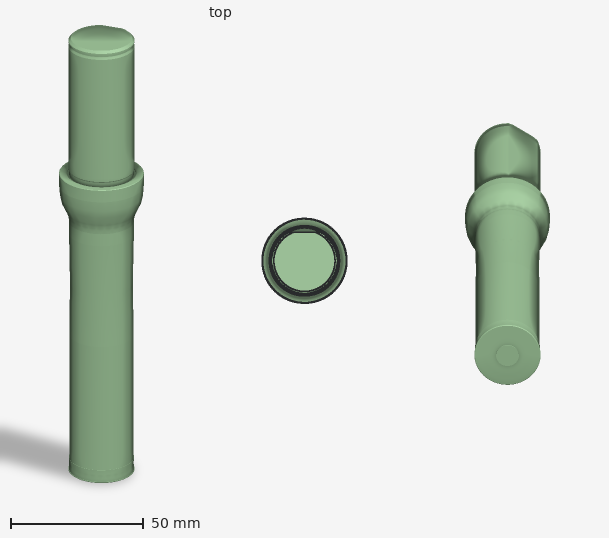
import cadquery as cq

total_height = 180.0
axial = (0, 1)

boss_diameter = 8.6
boss_height = 0.5
rim_diameter = 24.99
rim_bevel = 0.25
rim_top = 1.0
foot_diameter = 24.59
foot_waist_diameter = 24.35
foot_top = 5.8

grip_diameter = 24.3
grip_top = 57.0
waist_diameter = 23.8
waist_top = 99.0
neck_diameter = 24.5
neck_top = 104.0

collar_diameter = 32.0
collar_bottom = 119.0
collar_top = 124.0
collar_bevel = 0.2
flare_middle_diameter = 29.2
flare_middle_z = 110.9

socket_diameter = 18.0
socket_depth = 12.0
mouth_diameter = 26.1
mouth_depth = 0.5

relief_diameter = 24.5
barrel_diameter = 24.99
barrel_bottom = 125.4
barrel_bevel = 0.4
barrel_top = 176.6

groove_diameter = 24.1
groove_bottom = 177.6
lip_bottom = 178.6
lip_top = 179.1
tip_diameter = 23.1

flat_offset = 10.7
flat_bottom = 129.3

socket_floor = collar_top - socket_depth
mouth_floor = collar_top - mouth_depth


def revolve_about_z(profile):
    return profile.close().revolve(360, (0, 0, 0), (0, 1, 0))


def build_handle():
    collar_radius = collar_diameter / 2
    rim_radius = rim_diameter / 2
    foot_radius = foot_diameter / 2
    grip_radius = grip_diameter / 2
    neck_radius = neck_diameter / 2
    socket_radius = socket_diameter / 2
    mouth_radius = mouth_diameter / 2
    foot_middle = (foot_waist_diameter / 2, (rim_top + foot_top) / 2)
    waist_middle = (waist_diameter / 2, (grip_top + waist_top) / 2)
    flare_middle = (flare_middle_diameter / 2, flare_middle_z)

    profile = (
        cq.Workplane("XZ")
        .lineTo(boss_diameter / 2, 0)
        .lineTo(boss_diameter / 2, boss_height)
        .lineTo(rim_radius - rim_bevel, boss_height)
        .lineTo(rim_radius, boss_height + rim_bevel)
        .lineTo(rim_radius, rim_top)
        .lineTo(foot_radius, rim_top)
        .spline([foot_middle, (foot_radius, foot_top)], tangents=[axial, axial], includeCurrent=True)
        .lineTo(grip_radius, foot_top)
        .lineTo(grip_radius, grip_top)
        .spline([waist_middle, (neck_radius, waist_top)], tangents=[axial, axial], includeCurrent=True)
        .lineTo(neck_radius, neck_top)
        .spline([flare_middle, (collar_radius, collar_bottom)], tangents=[axial, axial], includeCurrent=True)
        .lineTo(collar_radius, collar_top - collar_bevel)
        .lineTo(collar_radius - collar_bevel, collar_top)
        .lineTo(mouth_radius + collar_bevel, collar_top)
        .lineTo(mouth_radius, collar_top - collar_bevel)
        .lineTo(mouth_radius, mouth_floor)
        .lineTo(socket_radius, mouth_floor)
        .lineTo(socket_radius, socket_floor)
        .lineTo(0, socket_floor)
    )
    return revolve_about_z(profile)


def build_shank():
    spigot_radius = socket_diameter / 2
    relief_radius = relief_diameter / 2
    barrel_radius = barrel_diameter / 2
    groove_radius = groove_diameter / 2

    profile = (
        cq.Workplane("XZ")
        .moveTo(0, socket_floor)
        .lineTo(spigot_radius, socket_floor)
        .lineTo(spigot_radius, mouth_floor)
        .lineTo(relief_radius, mouth_floor)
        .lineTo(relief_radius, barrel_bottom)
        .lineTo(barrel_radius, barrel_bottom + barrel_bevel)
        .lineTo(barrel_radius, barrel_top)
        .lineTo(groove_radius, groove_bottom)
        .lineTo(groove_radius, lip_bottom)
        .lineTo(barrel_radius, lip_bottom)
        .lineTo(barrel_radius, lip_top)
        .lineTo(tip_diameter / 2, total_height)
        .lineTo(0, total_height)
    )
    return revolve_about_z(profile).cut(flat_cutter())


def flat_cutter():
    ramp = barrel_diameter / 2
    return (
        cq.Workplane("YZ")
        .moveTo(flat_offset, total_height)
        .lineTo(flat_offset, flat_bottom)
        .lineTo(flat_offset + ramp, flat_bottom - ramp)
        .lineTo(flat_offset + ramp, total_height)
        .close()
        .extrude(barrel_diameter, both=True)
    )


handle = build_handle()
shank = build_shank()
result = cq.Compound.makeCompound([handle.val(), shank.val()])